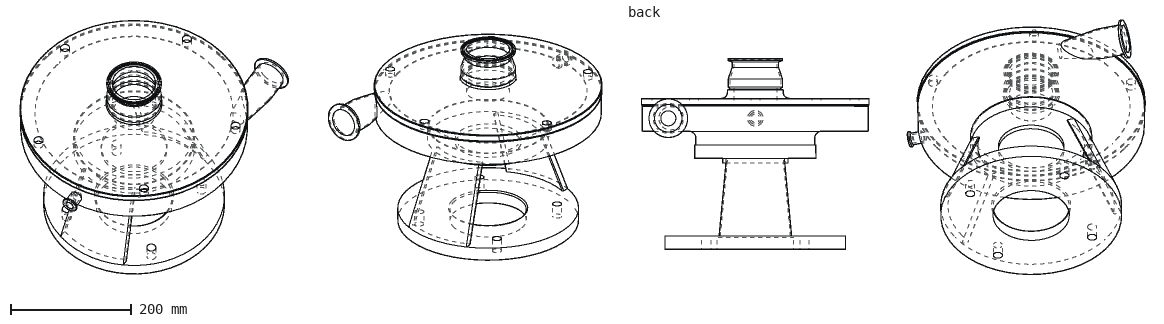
import cadquery as cq
import math

base_top = 22.5
pad_bottom = 143.0
ring_bottom = 151.0
ring_top = 173.5
casing_bottom = 196.0
nozzle_height = 217.5
casing_top = 238.0
cover_bottom = 239.0
cover_top = 251.0
reducer_bottom = 269.0
reducer_shoulder = 282.5
inlet_tube_bottom = 302.0
inlet_top = 316.5

base_radius = 150.0
base_hole_radius = 63.2
base_hole_chamfer = 2.5
base_bolt_circle = 115.2
base_bolt_count = 4
bolt_hole_diameter = 15.0
ring_radius = 100.5
pad_radius = 54.5
leg_thickness = 12.0
leg_top_half_width = 48.3
leg_foot_half_width = 60.5
leg_corner_chamfer = 2.5

casing_radius = 188.0
casing_edge_fillet = 2.0
neck_radius = 99.0
neck_fillet = 11.0

cover_radius = 189.3
cover_edge_chamfer = 1.2
cover_bolt_circle = 172.5
cover_bolt_count = 5
spigot_radius = 164.5
hub_radius = 46.5
hub_fillet = 9.5
hub_chamfer = 1.5
weld_groove_radius = 41.0
weld_groove_height = 266.2
reducer_radius = 45.5
inlet_tube_radius = 38.5
inlet_bore_radius = 35.8
inlet_flange_radius = 45.5
gasket_groove_inner = 40.5
gasket_groove_outer = 43.0
gasket_groove_depth = 1.2

rim_thickness = 3.5
rim_cone_length = 2.0

outlet_x = 144.5
outlet_face_y = 205.5
outlet_taper_y = 160.5
outlet_end_y = 91.5
outlet_radius = 25.0
outlet_end_radius = 14.5
outlet_flange_radius = 32.0
outlet_wall = 2.0

drain_face_y = 210.5
drain_root_y = 183.0
drain_radius = 10.0
drain_bore_radius = 7.0
drain_flange_radius = 13.0
drain_rim_thickness = 3.0


def disc(radius, bottom, top):
    """Vertical cylinder centred on the main axis."""
    return cq.Workplane("XY").workplane(offset=bottom).circle(radius).extrude(top - bottom)


def revolved(points):
    """Solid turned about Z from a closed outline of (radius, height) points."""
    return cq.Workplane("XZ").polyline(points).close().revolve(360, (0, 0), (0, 1))


def pipe_along_y(points, x, direction):
    """Turned solid laid along +Y (direction 1) or -Y (direction -1) at nozzle height."""
    pipe = revolved(points).rotate((0, 0, 0), (1, 0, 0), -90 * direction)
    return pipe.translate((x, 0, nozzle_height))


def bolt_holes(circle_radius, count, start_angle, bottom, top):
    """Ring of vertical drills, one solid per hole position."""
    return (
        cq.Workplane("XY")
        .workplane(offset=bottom)
        .polarArray(circle_radius, start_angle, 360, count)
        .circle(bolt_hole_diameter / 2)
        .extrude(top - bottom)
    )


def make_base():
    base = disc(base_radius, 0, base_top).cut(disc(base_hole_radius, 0, base_top))
    base = base.faces(">Z").edges(cq.selectors.RadiusNthSelector(0)).chamfer(base_hole_chamfer)
    return base.cut(bolt_holes(base_bolt_circle, base_bolt_count, 45, 0, base_top))


def make_legs():
    """Two opposite legs: strips of a conical shell from the base rim up to the mounting ring."""
    shell = revolved([
        (base_radius - leg_thickness, base_top),
        (base_radius, base_top),
        (ring_radius, ring_bottom),
        (ring_radius - leg_thickness, ring_bottom),
    ])
    strip = (
        cq.Workplane("XZ")
        .polyline([
            (-leg_foot_half_width, base_top),
            (leg_foot_half_width, base_top),
            (leg_top_half_width, ring_bottom),
            (-leg_top_half_width, ring_bottom),
        ])
        .close()
        .extrude(base_radius)
    )
    front_leg = shell.intersect(strip)
    front_leg = front_leg.faces("%CONE").faces(">Y").edges("not %CIRCLE").chamfer(leg_corner_chamfer)
    back_leg = front_leg.rotate((0, 0, 0), (0, 0, 1), 180)
    return front_leg, back_leg


def make_outlet():
    neck_y = outlet_face_y - rim_thickness - rim_cone_length
    pipe = pipe_along_y([
        (0, outlet_end_y),
        (outlet_end_radius, outlet_end_y),
        (outlet_radius, outlet_taper_y),
        (outlet_radius, neck_y),
        (outlet_flange_radius, outlet_face_y - rim_thickness),
        (outlet_flange_radius, outlet_face_y),
        (0, outlet_face_y),
    ], outlet_x, 1)
    bore = pipe_along_y([
        (0, outlet_end_y),
        (outlet_end_radius - outlet_wall, outlet_end_y),
        (outlet_radius - outlet_wall, outlet_taper_y),
        (outlet_radius - outlet_wall, outlet_face_y),
        (0, outlet_face_y),
    ], outlet_x, 1)
    return pipe, bore


def make_drain():
    rim_back = drain_face_y - drain_rim_thickness
    pipe = pipe_along_y([
        (0, drain_root_y),
        (drain_radius, drain_root_y),
        (drain_radius, rim_back - rim_cone_length),
        (drain_flange_radius, rim_back),
        (drain_flange_radius, drain_face_y),
        (0, drain_face_y),
    ], 0, -1)
    bore = pipe_along_y([
        (0, drain_root_y),
        (drain_bore_radius, drain_root_y),
        (drain_bore_radius, drain_face_y),
        (0, drain_face_y),
    ], 0, -1)
    return pipe, bore


def make_casing():
    """Casing with its neck, stand, outlet and drain as one body."""
    casing = disc(casing_radius, casing_bottom, casing_top)
    casing = casing.faces("<Z").edges().fillet(casing_edge_fillet)
    casing = casing.union(disc(neck_radius, ring_top, casing_bottom))
    neck_corner = cq.selectors.RadiusNthSelector(0)
    casing = casing.faces("<Z[1]").edges(neck_corner).fillet(neck_fillet)
    casing = casing.union(disc(ring_radius, ring_bottom, ring_top))
    casing = casing.union(disc(pad_radius, pad_bottom, ring_bottom))
    casing = casing.union(make_base())
    for leg in make_legs():
        casing = casing.union(leg)
    for pipe, bore in (make_outlet(), make_drain()):
        casing = casing.union(pipe).cut(bore)
    return casing


def make_inlet():
    """Hub, reducer and clamp flange standing on the cover, turned about the main axis."""
    hub_top = weld_groove_height - hub_chamfer
    hub_flare_top = cover_top + hub_fillet
    flare_middle = hub_fillet * (1 - math.sqrt(0.5))
    rim_bottom = inlet_top - rim_thickness
    return (
        cq.Workplane("XZ")
        .moveTo(0, cover_top)
        .lineTo(hub_radius + hub_fillet, cover_top)
        .threePointArc(
            (hub_radius + flare_middle, cover_top + flare_middle),
            (hub_radius, hub_flare_top),
        )
        .lineTo(hub_radius, hub_top)
        .lineTo(weld_groove_radius, weld_groove_height)
        .lineTo(reducer_radius, reducer_bottom)
        .lineTo(reducer_radius, reducer_shoulder)
        .lineTo(inlet_tube_radius, inlet_tube_bottom)
        .lineTo(inlet_tube_radius, rim_bottom - rim_cone_length)
        .lineTo(inlet_flange_radius, rim_bottom)
        .lineTo(inlet_flange_radius, inlet_top)
        .lineTo(0, inlet_top)
        .close()
        .revolve(360, (0, 0), (0, 1))
    )


def make_inlet_bore():
    """Passage through inlet and cover, widened inside the reducer to keep its wall even."""
    wide_radius = reducer_radius - (inlet_tube_radius - inlet_bore_radius)
    return revolved([
        (0, casing_top),
        (inlet_bore_radius, casing_top),
        (inlet_bore_radius, reducer_bottom),
        (wide_radius, reducer_bottom),
        (wide_radius, reducer_shoulder),
        (inlet_bore_radius, inlet_tube_bottom),
        (inlet_bore_radius, inlet_top),
        (0, inlet_top),
    ])


def make_cover():
    cover = disc(cover_radius, cover_bottom, cover_top).edges().chamfer(cover_edge_chamfer)
    cover = cover.union(disc(spigot_radius, casing_top, cover_bottom))
    cover = cover.union(make_inlet())
    cover = cover.cut(make_inlet_bore())
    cover = cover.cut(bolt_holes(cover_bolt_circle, cover_bolt_count, 90, cover_bottom, cover_top))
    groove_bottom = inlet_top - gasket_groove_depth
    gasket_groove = disc(gasket_groove_outer, groove_bottom, inlet_top)
    gasket_groove = gasket_groove.cut(disc(gasket_groove_inner, groove_bottom, inlet_top))
    return cover.cut(gasket_groove)


casing = make_casing()
cover = make_cover()

result = cq.Compound.makeCompound([casing.val(), cover.val()])